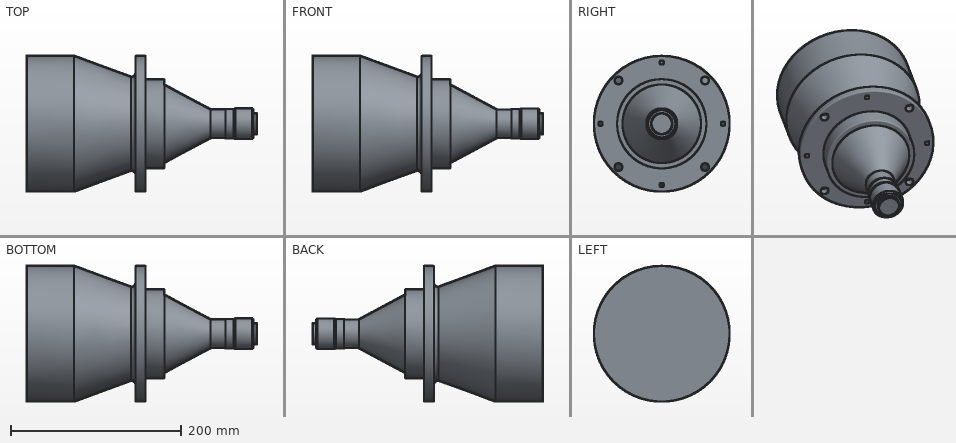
import cadquery as cq


barrel_radius = 80.0
barrel_length = 56.0
front_cone_end_x = 122.6
front_cone_end_radius = 55.5

neck_fillet = 4.2

flange_radius = 80.0
flange_front_x = 128.0
flange_thickness = 12.0
flange_front_fillet = 2.0
flange_back_fillet = 1.5
flange_back_x = flange_front_x + flange_thickness

hub_radius = 52.5
hub_length = 22.0
hub_fillet = 1.5
hub_end_x = flange_back_x + hub_length
rear_cone_start_radius = 46.2
rear_cone_end_x = 216.5

tube_radius = 17.0
ring_start_x = 233.7
ring_end_x = 243.4
ring_radius = 17.5
lead_in_start_radius = 16.8
collar_start_x = 245.9
collar_radius = 18.2
collar_end_x = 267.1
collar_rear_chamfer = 2.2
tip_radius = 12.5
tip_chamfer = 0.5
total_length = 270.9

bolt_circle_radius = 72.0
mounting_hole_diameter = 9.0
small_hole_diameter = 5.0
hole_count = 4
hole_pitch = 360.0 / hole_count


def turned_body():
    """Half profile in the XZ plane (X, radius) revolved about the X axis."""
    profile = (
        cq.Workplane("XZ")
        .lineTo(0, barrel_radius)
        .lineTo(barrel_length, barrel_radius)
        .lineTo(front_cone_end_x, front_cone_end_radius)
        .lineTo(flange_front_x - neck_fillet, front_cone_end_radius)
        .radiusArc((flange_front_x, front_cone_end_radius + neck_fillet), -neck_fillet)
        .lineTo(flange_front_x, flange_radius - flange_front_fillet)
        .radiusArc((flange_front_x + flange_front_fillet, flange_radius), flange_front_fillet)
        .lineTo(flange_back_x - flange_back_fillet, flange_radius)
        .radiusArc((flange_back_x, flange_radius - flange_back_fillet), flange_back_fillet)
        .lineTo(flange_back_x, hub_radius)
        .lineTo(hub_end_x - hub_fillet, hub_radius)
        .radiusArc((hub_end_x, hub_radius - hub_fillet), hub_fillet)
        .lineTo(hub_end_x, rear_cone_start_radius)
        .lineTo(rear_cone_end_x, tube_radius)
        .lineTo(ring_start_x, tube_radius)
        .lineTo(ring_start_x, ring_radius)
        .lineTo(ring_end_x, ring_radius)
        .lineTo(ring_end_x, lead_in_start_radius)
        .lineTo(collar_start_x, collar_radius)
        .lineTo(collar_end_x - collar_rear_chamfer, collar_radius)
        .lineTo(collar_end_x, collar_radius - collar_rear_chamfer)
        .lineTo(collar_end_x, tip_radius)
        .lineTo(total_length - tip_chamfer, tip_radius)
        .lineTo(total_length, tip_radius - tip_chamfer)
        .lineTo(total_length, 0)
        .close()
    )
    return profile.revolve(360, (0, 0, 0), (1, 0, 0))


def flange_holes(diameter, start_angle):
    """Cylinders that pass through the flange, evenly spaced on the bolt circle."""
    return (
        cq.Workplane("YZ", origin=(flange_front_x, 0, 0))
        .polarArray(bolt_circle_radius, start_angle, 360, hole_count)
        .circle(diameter / 2)
        .extrude(flange_thickness)
    )


mounting_holes = flange_holes(mounting_hole_diameter, hole_pitch / 2)
small_holes = flange_holes(small_hole_diameter, 0)

result = turned_body().cut(mounting_holes).cut(small_holes)